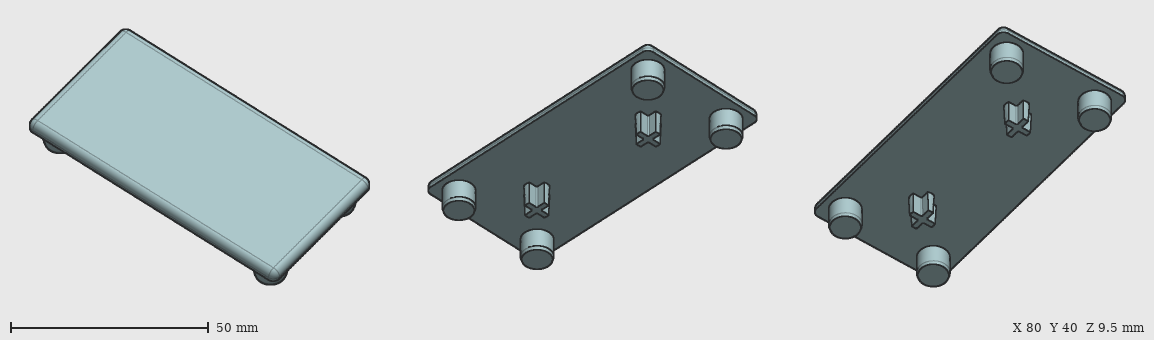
import cadquery as cq

length = 80.0
width = 40.0
thickness = 3.0
edge_radius = 2.0

overall_height = 9.5
post_height = overall_height - thickness
peg_diameter = 8.5
peg_inset = 6.1
peg_lead_height = 1.0
peg_lead_depth = 0.3

cross_spacing = length / 2
cross_root_diameter = 7.5
cross_arm_width = 2.0
cross_fillet = 0.3
draft_angle = 2.0


def make_plate():
    """Plate with rounded corners and a fully rounded upper rim."""
    plate = cq.Workplane("XY").box(length, width, thickness, centered=(True, True, False))
    return plate.edges("|Z").fillet(edge_radius).faces(">Z").edges().fillet(edge_radius)


def make_peg():
    """Solid peg hanging below the plate, with a tapered lead-in at its tip."""
    peg = cq.Workplane("XY").circle(peg_diameter / 2).extrude(-post_height)
    return peg.faces("<Z").chamfer(peg_lead_height, peg_lead_depth)


def make_cross_arm(size_x, size_y):
    """Rib of the cross, drafted so that it narrows towards the tip."""
    return cq.Workplane("XY").rect(size_x, size_y).extrude(-post_height, taper=draft_angle)


def make_cross_post():
    """Drafted cross with filleted inner corners and conical arm ends."""
    untrimmed_length = 2 * cross_root_diameter
    cross = make_cross_arm(untrimmed_length, cross_arm_width)
    cross = cross.union(make_cross_arm(cross_arm_width, untrimmed_length))
    inner_corners = cq.selectors.BoxSelector(
        (-cross_arm_width, -cross_arm_width, -post_height),
        (cross_arm_width, cross_arm_width, 0),
    )
    cross = cross.edges(inner_corners).edges("not #Z").fillet(cross_fillet)
    cone = cq.Workplane("XY").circle(cross_root_diameter / 2).extrude(-post_height, taper=draft_angle)
    return cross.intersect(cone)


result = make_plate()
peg_x = length / 2 - peg_inset
peg_y = width / 2 - peg_inset
for side_x in (-1, 1):
    result = result.union(make_cross_post().translate((side_x * cross_spacing / 2, 0, 0)))
    for side_y in (-1, 1):
        result = result.union(make_peg().translate((side_x * peg_x, side_y * peg_y, 0)))